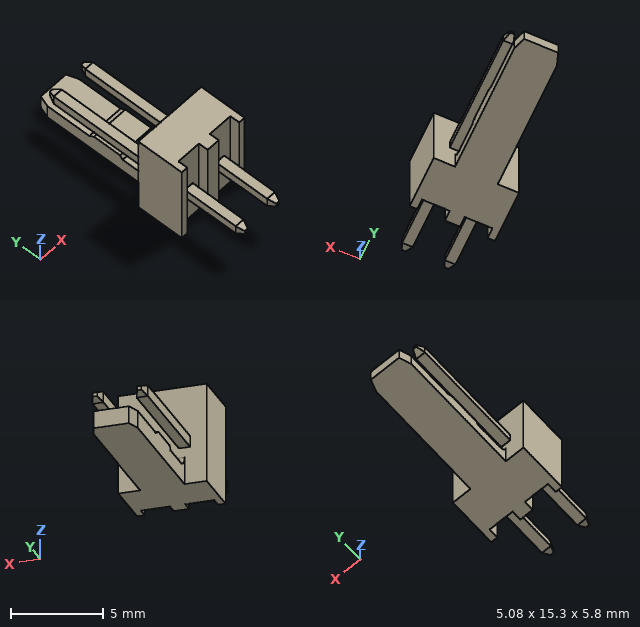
import cadquery as cq

pin_count = 2
housing_width = 5.08
pitch = housing_width / pin_count

housing_depth = 3.17
housing_height = 5.8
groove_depth = 0.64
groove_width = 1.65

pin_size = 0.64
pin_height = 2.49
pin_front = -6.75
pin_rear = 7.52
tip_length = 0.49
tip_size = 0.25

tongue_length = 8.52
tongue_width = pitch
tongue_thickness = 1.0
tongue_end_width = 2.03
tongue_taper_length = 0.73
ridge_height = 0.23
ridge_front_foot = 2.29
ridge_front_top = 2.49
ridge_rear_top = 4.38
ridge_rear_foot = 4.73
root_radius = 0.6

pin_positions = [(i - (pin_count - 1) / 2) * pitch for i in range(pin_count)]


def box_between(x_range, y_range, z_range):
    """Box filling the given (low, high) ranges."""
    ranges = (x_range, y_range, z_range)
    sizes = [high - low for low, high in ranges]
    corner = tuple(low for low, high in ranges)
    return cq.Workplane("XY").box(*sizes, centered=False).translate(corner)


def make_housing():
    """Block with a full-height groove in front of each pin."""
    front = -housing_depth
    half_width = housing_width / 2
    housing = box_between((-half_width, half_width), (front, 0), (0, housing_height))
    for x in pin_positions:
        groove = box_between(
            (x - groove_width / 2, x + groove_width / 2),
            (front, front + groove_depth),
            (0, housing_height),
        )
        housing = housing.cut(groove)
    return housing


def make_pin(x):
    """Square pin with a truncated pyramid at each end."""
    half = pin_size / 2
    shaft_front = pin_front + tip_length
    shaft_rear = pin_rear - tip_length
    pin = box_between(
        (x - half, x + half),
        (shaft_front, shaft_rear),
        (pin_height - half, pin_height + half),
    )
    for y, direction in ((shaft_front, -1), (shaft_rear, 1)):
        base = cq.Plane(origin=(x, y, pin_height), xDir=(1, 0, 0), normal=(0, direction, 0))
        tip = (
            cq.Workplane(base)
            .rect(pin_size, pin_size)
            .workplane(offset=tip_length)
            .rect(tip_size, tip_size)
            .loft(ruled=True)
        )
        pin = pin.union(tip)
    return pin


def make_tongue():
    """Tongue with a locking ridge, a concave root and a tapered end."""
    ridge_top = tongue_thickness + ridge_height
    profile = (
        cq.Workplane("YZ")
        .moveTo(0, 0)
        .lineTo(tongue_length, 0)
        .lineTo(tongue_length, tongue_thickness)
        .lineTo(ridge_rear_foot, tongue_thickness)
        .lineTo(ridge_rear_top, ridge_top)
        .lineTo(ridge_front_top, ridge_top)
        .lineTo(ridge_front_foot, tongue_thickness)
        .lineTo(root_radius, tongue_thickness)
        .radiusArc((0, tongue_thickness + root_radius), root_radius)
        .close()
        .extrude(tongue_width / 2, both=True)
    )
    half_width = tongue_width / 2
    half_end = tongue_end_width / 2
    taper_start = tongue_length - tongue_taper_length
    outline = (
        cq.Workplane("XY")
        .polyline([
            (-half_width, 0),
            (half_width, 0),
            (half_width, taper_start),
            (half_end, tongue_length),
            (-half_end, tongue_length),
            (-half_width, taper_start),
        ])
        .close()
        .extrude(housing_height)
    )
    return profile.intersect(outline)


result = make_housing().union(make_tongue())
for pin_x in pin_positions:
    result = result.union(make_pin(pin_x))